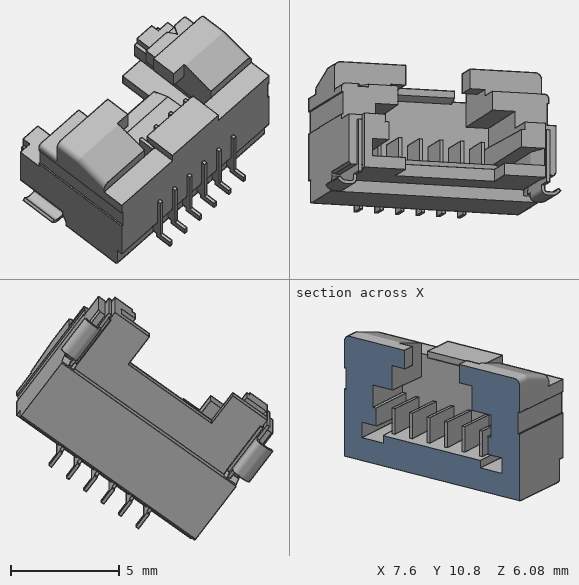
import math

import cadquery as cq

HALF_WIDTH = 5.015
REAR_X = 6.82
BASE_Z = 0.07
MOUTH_BASE_Z = 0.635
ARM_TOP_Z = 3.18
STEP_X = 1.58
STEP_TOP_Z = 4.86
STEP_FILLET = 0.21
TOWER_X = 2.73
TOWER_TOP_Z = 6.08
TOWER_FILLET = 0.31
SLOPE_START_X = 4.09
SLOPE_END_X = 5.70
SLOPE_END_Z = 5.58
REAR_TOP_Z = 5.06
FOOT_X = 3.29
REAR_NOTCH_X = 6.54
REAR_NOTCH_Z = 1.18
FOOT_CHAMFER = 0.09

GROOVE_DEPTH = 0.075
GROOVE_BOTTOM_Z = 3.39
GROOVE_TOP_Z = 4.44

CAVITY_REAR_X = SLOPE_END_X
DRAFT_START_X = 1.09
DRAFT_SIDE = 0.035
DRAFT_HEIGHT = 0.07
FLOOR_Z = 1.19
FOOT_SLOT_HALF = 4.0
FOOT_SLOT_TOP_Z = 2.0
NECK_HALF = 3.20
SHELF_Z = 2.83
MIDDLE_HALF = 3.376
MIDDLE_TOP_Z = 3.98
THROAT_HALF = 2.295
THROAT_TOP_Z = 5.15

TOWER_INNER_HALF = 1.56
OVERHANG_END_X = 4.0
ARM_INNER_HALF = 2.395
FLOOR_FRONT_X = 1.65
KEY_SLOT_HALF = 4.33

RAMP_END_X = 2.52
PLATFORM_FLAT_END_X = 2.94
PLATFORM_Z = 1.58
PLATFORM_REAR_Z = 1.65
PLATFORM_FRONT_HALF = 2.74
PLATFORM_REAR_HALF = 2.83

BRIDGE_FRONT_X = 5.21
BRIDGE_TOP_Z = 5.48
BRIDGE_ROOT_Z = 4.95

MARK_Y = 3.965
MARK_HALF_WIDTH = 0.255
MARK_LENGTH = 0.43
MARK_DEPTH = 0.12

NOTCH_X = 0.42
NOTCH_Y = 4.38
UNDERCUT_Y = 4.30
UNDERCUT_Z = 0.83
UNDERCUT_END_X = 3.08
UNDERCUT_SLOPE_TOP_Z = 0.74
UNDERCUT_SLOPE_END_Z = 0.36
UNDERCUT_LIP = 0.125
UNDERCUT_LIP_DEPTH = 0.09

SHEET = 0.155
TAB_INNER_Y = 4.475
TAB_FRONT_X = 0.145
TAB_TOP_Z = 2.91
TAB_FRONT_Z = 0.46
TAB_REAR_X = 3.24
TAB_REAR_Z = 0.42
HOOK_START_X = 0.95
HOOK_END_X = 2.81
HOOK_INNER_RADIUS = 0.12
HOOK_TIP_Y = 5.405
LIP_OUTER_RADIUS = 0.45
LIP_ANGLE = math.radians(45)
LIP_STRAIGHT = 0.14

PIN_COUNT = 6
PIN_PITCH = 1.0
PIN_THICKNESS = 0.155
PIN_TIP_X = 3.81
PIN_TOP_Z = 2.87
PIN_BLADE_BOTTOM_Z = 1.5
PIN_LEG_INNER_X = 6.5
PIN_LEG_OUTER_X = 7.0
PIN_HEEL_X = 6.75
PIN_HEEL_Z = 0.22
PIN_LEG_BOTTOM_Z = 0.28
PIN_FOOT_END_X = 7.6
PIN_FOOT_TOP_Z = 0.32


def box(x0, x1, y0, y1, z0, z1):
    """Box given by its limits along each axis."""
    size = (x1 - x0, y1 - y0, z1 - z0)
    return cq.Workplane("XY").box(*size, centered=False).translate((x0, y0, z0))


def slab(points, y0, y1):
    """Prism with an outline in X-Z, reaching from y0 to y1."""
    return cq.Workplane("XZ", origin=(0, y0, 0)).polyline(points).close().extrude(y0 - y1)


def with_mirror(shape):
    """The shape together with its mirror image across the X-Z plane."""
    return shape.union(shape.mirror("XZ"))


def lower_body():
    """Solid block up to the front step and the rear top, still without the towers."""
    outline = [
        (0, MOUTH_BASE_Z),
        (UNDERCUT_END_X, MOUTH_BASE_Z),
        (UNDERCUT_END_X, BASE_Z),
        (REAR_NOTCH_X - FOOT_CHAMFER, BASE_Z),
        (REAR_NOTCH_X, BASE_Z + FOOT_CHAMFER),
        (REAR_NOTCH_X, REAR_NOTCH_Z),
        (REAR_X, REAR_NOTCH_Z),
        (REAR_X, REAR_TOP_Z),
        (TOWER_X, REAR_TOP_Z),
        (TOWER_X, ARM_TOP_Z),
        (0, ARM_TOP_Z),
    ]
    return slab(outline, -HALF_WIDTH, HALF_WIDTH)


def front_step():
    """Step in front of the towers, its outer top edges rounded."""
    block = box(STEP_X, TOWER_X, -HALF_WIDTH, HALF_WIDTH, ARM_TOP_Z, STEP_TOP_Z)
    return block.edges("|X and >Z").fillet(STEP_FILLET)


def towers():
    """Tall block with a sloping rear roof, its outer top edges rounded."""
    outline = [
        (TOWER_X, ARM_TOP_Z),
        (SLOPE_END_X, ARM_TOP_Z),
        (SLOPE_END_X, SLOPE_END_Z),
        (SLOPE_START_X, TOWER_TOP_Z),
        (TOWER_X, TOWER_TOP_Z),
    ]
    block = slab(outline, -HALF_WIDTH, HALF_WIDTH)
    roof_middle_z = (TOWER_TOP_Z + SLOPE_END_Z) / 2 - TOWER_FILLET
    roof_zone = cq.selectors.BoxSelector(
        (TOWER_X, -2 * HALF_WIDTH, roof_middle_z),
        (SLOPE_END_X, 2 * HALF_WIDTH, 2 * TOWER_TOP_Z),
    )
    return block.edges(roof_zone).edges("#Y").fillet(TOWER_FILLET)


def side_grooves():
    groove = box(
        STEP_X, REAR_X, HALF_WIDTH - GROOVE_DEPTH, HALF_WIDTH, GROOVE_BOTTOM_Z, GROOVE_TOP_Z
    )
    return with_mirror(groove)


def cavity_outline(side, height):
    """Stepped cavity section in Y-Z with its walls moved inwards by side and height."""
    half = [
        (FOOT_SLOT_HALF - side, FLOOR_Z + height),
        (FOOT_SLOT_HALF - side, FOOT_SLOT_TOP_Z - height),
        (NECK_HALF - side, FOOT_SLOT_TOP_Z - height),
        (NECK_HALF - side, SHELF_Z + height),
        (MIDDLE_HALF - side, SHELF_Z + height),
        (MIDDLE_HALF - side, MIDDLE_TOP_Z - height),
        (THROAT_HALF - side, MIDDLE_TOP_Z - height),
        (THROAT_HALF - side, THROAT_TOP_Z),
    ]
    return half + [(-y, z) for y, z in reversed(half)]


def cavity():
    """Straight mouth followed by a slightly tapering socket."""
    mouth = cq.Workplane("YZ").polyline(cavity_outline(0, 0)).close().extrude(DRAFT_START_X)
    socket = (
        cq.Workplane("YZ", origin=(DRAFT_START_X, 0, 0))
        .polyline(cavity_outline(0, 0))
        .close()
        .workplane(offset=CAVITY_REAR_X - DRAFT_START_X)
        .polyline(cavity_outline(DRAFT_SIDE, DRAFT_HEIGHT))
        .close()
        .loft(ruled=True)
    )
    return mouth.union(socket)


def top_openings():
    """Gap between the towers, wider behind their overhanging front parts."""
    gap = box(
        TOWER_X, SLOPE_END_X, -TOWER_INNER_HALF, TOWER_INNER_HALF, MIDDLE_TOP_Z, TOWER_TOP_Z
    )
    drafted_part = (OVERHANG_END_X - DRAFT_START_X) / (CAVITY_REAR_X - DRAFT_START_X)
    front_half = THROAT_HALF - DRAFT_SIDE * drafted_part
    rear_half = THROAT_HALF - DRAFT_SIDE
    plan = [
        (OVERHANG_END_X, -front_half),
        (CAVITY_REAR_X, -rear_half),
        (CAVITY_REAR_X, rear_half),
        (OVERHANG_END_X, front_half),
    ]
    wide = (
        cq.Workplane("XY", origin=(0, 0, MIDDLE_TOP_Z))
        .polyline(plan)
        .close()
        .extrude(TOWER_TOP_Z - MIDDLE_TOP_Z)
    )
    return gap.union(wide)


def mouth_gap():
    """Gap in the floor between the two front arms."""
    return box(0, FLOOR_FRONT_X, -ARM_INNER_HALF, ARM_INNER_HALF, 0, FOOT_SLOT_TOP_Z)


def key_slot():
    """Lead-in widening the foot slot on the -Y side only."""
    outline = [(0, -FOOT_SLOT_HALF), (0, -KEY_SLOT_HALF), (DRAFT_START_X, -FOOT_SLOT_HALF)]
    wedge = cq.Workplane("XY", origin=(0, 0, FLOOR_Z)).polyline(outline).close()
    return wedge.extrude(FOOT_SLOT_TOP_Z - FLOOR_Z)


def pin_one_mark():
    outline = [
        (STEP_X, MARK_Y - MARK_HALF_WIDTH),
        (STEP_X + MARK_LENGTH, MARK_Y),
        (STEP_X, MARK_Y + MARK_HALF_WIDTH),
    ]
    top = cq.Workplane("XY", origin=(0, 0, STEP_TOP_Z))
    return top.polyline(outline).close().extrude(-MARK_DEPTH)


def foot_recess():
    """Setback of the foot between the undercuts."""
    return box(UNDERCUT_END_X, FOOT_X, -UNDERCUT_Y, UNDERCUT_Y, 0, MOUTH_BASE_Z)


def tab_clearance():
    """Front corner notch and bottom undercut around each hold-down tab."""
    notch = box(0, NOTCH_X, NOTCH_Y, HALF_WIDTH, 0, ARM_TOP_Z)
    undercut = slab(
        [
            (NOTCH_X, 0),
            (FOOT_X, 0),
            (FOOT_X, UNDERCUT_SLOPE_END_Z),
            (UNDERCUT_END_X, UNDERCUT_SLOPE_TOP_Z),
            (UNDERCUT_END_X, UNDERCUT_Z),
            (NOTCH_X, UNDERCUT_Z),
        ],
        UNDERCUT_Y,
        HALF_WIDTH,
    )
    lip = (
        cq.Workplane("YZ", origin=(NOTCH_X, 0, 0))
        .polyline(
            [
                (HALF_WIDTH - UNDERCUT_LIP_DEPTH, UNDERCUT_Z),
                (HALF_WIDTH, UNDERCUT_Z),
                (HALF_WIDTH, UNDERCUT_Z + UNDERCUT_LIP),
            ]
        )
        .close()
        .extrude(UNDERCUT_END_X - NOTCH_X)
    )
    return with_mirror(notch.union(undercut).union(lip))


def floor_platform():
    """Raised floor under the contacts, ramped at the front and widening to the rear."""
    outline = [
        (FLOOR_FRONT_X, FLOOR_Z),
        (RAMP_END_X, PLATFORM_Z),
        (PLATFORM_FLAT_END_X, PLATFORM_Z),
        (CAVITY_REAR_X, PLATFORM_REAR_Z),
        (CAVITY_REAR_X, FLOOR_Z),
    ]
    plan = [
        (FLOOR_FRONT_X, -PLATFORM_FRONT_HALF),
        (CAVITY_REAR_X, -PLATFORM_REAR_HALF),
        (CAVITY_REAR_X, PLATFORM_REAR_HALF),
        (FLOOR_FRONT_X, PLATFORM_FRONT_HALF),
    ]
    footprint = cq.Workplane("XY").polyline(plan).close().extrude(PLATFORM_REAR_Z)
    return slab(outline, -PLATFORM_REAR_HALF, PLATFORM_REAR_HALF).intersect(footprint)


def rear_bridge():
    """Centre block on the rear wall, overhanging the cavity with a sloped underside."""
    outline = [
        (BRIDGE_FRONT_X, THROAT_TOP_Z),
        (CAVITY_REAR_X, BRIDGE_ROOT_Z),
        (REAR_X, BRIDGE_ROOT_Z),
        (REAR_X, BRIDGE_TOP_Z),
        (BRIDGE_FRONT_X, BRIDGE_TOP_Z),
    ]
    return slab(outline, -TOWER_INNER_HALF, TOWER_INNER_HALF)


def housing():
    body = lower_body().union(front_step()).union(towers())
    for pocket in (
        side_grooves(),
        cavity(),
        top_openings(),
        mouth_gap(),
        key_slot(),
        pin_one_mark(),
        foot_recess(),
        tab_clearance(),
    ):
        body = body.cut(pocket)
    return body.union(floor_platform()).union(rear_bridge())


def tab_hook():
    """Sheet strip bent outwards along the board and curled up at its tip."""
    bend_radius = HOOK_INNER_RADIUS + SHEET
    bend_y = TAB_INNER_Y + bend_radius
    lip_inner_radius = LIP_OUTER_RADIUS - SHEET
    along = (math.cos(LIP_ANGLE), math.sin(LIP_ANGLE))
    lip_y = HOOK_TIP_Y - LIP_OUTER_RADIUS * along[1] - LIP_STRAIGHT * along[0]

    def on_bend(radius, angle):
        return (bend_y - radius * math.cos(angle), bend_radius - radius * math.sin(angle))

    def on_lip(radius, angle):
        return (lip_y + radius * math.sin(angle), LIP_OUTER_RADIUS - radius * math.cos(angle))

    def beyond(point):
        return (point[0] + LIP_STRAIGHT * along[0], point[1] + LIP_STRAIGHT * along[1])

    outer_end = on_lip(LIP_OUTER_RADIUS, LIP_ANGLE)
    inner_end = on_lip(lip_inner_radius, LIP_ANGLE)
    eighth = math.pi / 4
    quarter = math.pi / 2
    return (
        cq.Workplane("YZ", origin=(HOOK_START_X, 0, 0))
        .moveTo(TAB_INNER_Y, UNDERCUT_Z)
        .lineTo(*on_bend(bend_radius, 0))
        .threePointArc(on_bend(bend_radius, eighth), on_bend(bend_radius, quarter))
        .lineTo(*on_lip(LIP_OUTER_RADIUS, 0))
        .threePointArc(on_lip(LIP_OUTER_RADIUS, LIP_ANGLE / 2), outer_end)
        .lineTo(*beyond(outer_end))
        .lineTo(*beyond(inner_end))
        .lineTo(*inner_end)
        .threePointArc(on_lip(lip_inner_radius, LIP_ANGLE / 2), on_lip(lip_inner_radius, 0))
        .lineTo(*on_bend(HOOK_INNER_RADIUS, quarter))
        .threePointArc(on_bend(HOOK_INNER_RADIUS, eighth), on_bend(HOOK_INNER_RADIUS, 0))
        .lineTo(TAB_INNER_Y + SHEET, UNDERCUT_Z)
        .close()
        .extrude(HOOK_END_X - HOOK_START_X)
    )


def hold_down_tabs():
    outline = [
        (TAB_FRONT_X, TAB_FRONT_Z),
        (HOOK_START_X, TAB_FRONT_Z),
        (HOOK_END_X, TAB_REAR_Z),
        (TAB_REAR_X, TAB_REAR_Z),
        (TAB_REAR_X, TAB_TOP_Z),
        (TAB_FRONT_X, TAB_TOP_Z),
    ]
    plate = slab(outline, TAB_INNER_Y, TAB_INNER_Y + SHEET)
    return with_mirror(plate.union(tab_hook()))


def contact(y):
    """Flat contact: blade in the socket, leg behind the rear wall and a solder foot."""
    outline = [
        (PIN_TIP_X, PIN_BLADE_BOTTOM_Z),
        (PIN_LEG_INNER_X, PIN_BLADE_BOTTOM_Z),
        (PIN_LEG_INNER_X, PIN_LEG_BOTTOM_Z),
        (PIN_HEEL_X, PIN_HEEL_Z),
        (PIN_HEEL_X, 0),
        (PIN_FOOT_END_X, 0),
        (PIN_FOOT_END_X, PIN_FOOT_TOP_Z),
        (PIN_LEG_OUTER_X, PIN_FOOT_TOP_Z),
        (PIN_LEG_OUTER_X, PIN_TOP_Z),
        (PIN_TIP_X, PIN_TOP_Z),
    ]
    return slab(outline, y - PIN_THICKNESS / 2, y + PIN_THICKNESS / 2)


result = housing().union(hold_down_tabs())
for pin in range(PIN_COUNT):
    result = result.union(contact((pin - (PIN_COUNT - 1) / 2) * PIN_PITCH))